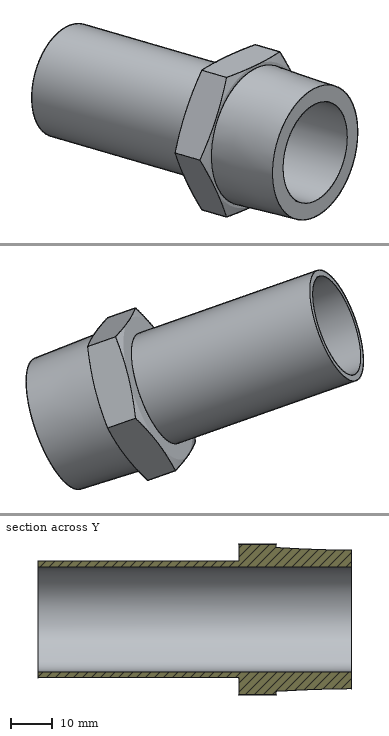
import cadquery as cq
import math

total_length = 75.0
hex_start = 48.0
hex_width = 9.0
hex_end = hex_start + hex_width

tube_diameter = 28.0
bore_diameter = 25.0
hex_across_flats = 36.0
hex_across_corners = hex_across_flats / math.cos(math.radians(30))
spigot_root_diameter = 34.5
spigot_tip_diameter = 33.2
corner_chamfer_angle = 15.0
cone_overreach = 0.75


def revolve_about_x(points):
    """Revolve a closed (x, radius) outline around the X axis."""
    return cq.Workplane("XY").polyline(points).close().revolve(360, (0, 0, 0), (1, 0, 0))


def make_tube():
    return cq.Workplane("YZ").circle(tube_diameter / 2).extrude(hex_end)


def make_hexagon():
    """Hexagon with corners on the Y axis, its corners turned to a cone on both ends."""
    prism = (
        cq.Workplane("YZ", origin=(hex_start, 0, 0))
        .polygon(6, hex_across_corners)
        .extrude(hex_width)
    )
    flat_radius = hex_across_flats / 2
    cone_radius = hex_across_corners / 2 + cone_overreach
    cone_depth = (cone_radius - flat_radius) * math.tan(math.radians(corner_chamfer_angle))
    envelope = revolve_about_x([
        (hex_start, 0),
        (hex_start, flat_radius),
        (hex_start + cone_depth, cone_radius),
        (hex_end - cone_depth, cone_radius),
        (hex_end, flat_radius),
        (hex_end, 0),
    ])
    return prism.intersect(envelope)


def make_tapered_spigot():
    return revolve_about_x([
        (hex_end, 0),
        (hex_end, spigot_root_diameter / 2),
        (total_length, spigot_tip_diameter / 2),
        (total_length, 0),
    ])


def make_bore():
    return cq.Workplane("YZ").circle(bore_diameter / 2).extrude(total_length)


result = make_tube().union(make_hexagon()).union(make_tapered_spigot()).cut(make_bore())